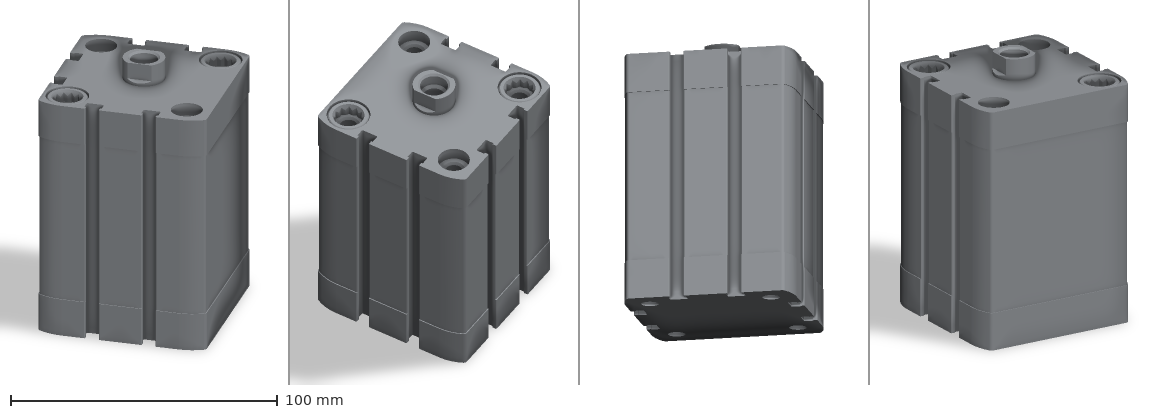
import cadquery as cq
import math


WIDTH = 65.5
HOUSING_HEIGHT = 94.7
CAP_HEIGHT = 14.85
BARREL_INSET = 0.35
CORNER_X = 22.9
CORNER_RADIUS = 19.0
EDGE_ROUND = 1.6

SLOTTED_SIDE_TURNS = (0, 180, -90)
SLOT_OFFSET = 11.05
SLOT_MOUTH = 5.4
SLOT_LIP = 1.7
SLOT_CAVITY = 6.7
SLOT_DEPTH = 5.1
SLOT_EDGE_CHAMFER = 0.25
SLOT_FLOOR_CHAMFER = 0.3

HOLE_PITCH = 46.5
BORE_D = 6.65
COUNTERSINK_D = 8.38
COUNTERSINK_ANGLE = 90.0
RECESS_D = 12.0
RECESS_DEPTH = 5.0

HEAD_GAP_D = 16.4
HEAD_D = 15.5
HEAD_SINK = 0.3
HEAD_CHAMFER = 0.45
HEAD_GAP_DEPTH = 2.0
SOCKET_ACROSS_FLATS = 9.8
SOCKET_HEXAGON_TURNS = (0, 30)
SOCKET_LEAD_IN_ANGLE = 45.0

ROD_D = 16.0
ROD_PROJECTION = 8.5
ROD_INSERTION = 35.0
ROD_FLAT_WIDTH = 13.0
ROD_FLAT_HEIGHT = 6.5
FLAT_RUNOUT_ANGLE = 30.0
ROD_MOUTH_D = 12.0
ROD_COUNTERBORE_D = 10.5
ROD_COUNTERBORE_DEPTH = 5.0
ROD_THREAD_D = 8.38
ROD_THREAD_DEPTH = 20.0
DRILL_TIP_ANGLE = 118.0

ROD_TOP = HOUSING_HEIGHT + ROD_PROJECTION
ROD_BOTTOM = HOUSING_HEIGHT - ROD_INSERTION
HALF_PITCH = HOLE_PITCH / 2
PLAIN_CORNERS = [(-HALF_PITCH, HALF_PITCH), (HALF_PITCH, -HALF_PITCH)]
SCREW_CORNERS = [(HALF_PITCH, HALF_PITCH), (-HALF_PITCH, -HALF_PITCH)]


def cylinder(diameter, bottom, top):
    return cq.Workplane("XY").workplane(offset=bottom).circle(diameter / 2).extrude(top - bottom)


def cone_depth(wide_diameter, narrow_diameter, full_angle):
    """Axial length of a cone between two diameters."""
    return (wide_diameter - narrow_diameter) / 2 / math.tan(math.radians(full_angle / 2))


def cone(bottom_diameter, top_diameter, bottom, top):
    solid = cq.Solid.makeCone(
        bottom_diameter / 2, top_diameter / 2, top - bottom, pnt=cq.Vector(0, 0, bottom)
    )
    return cq.Workplane(obj=solid)


def profile_block(inset, bottom, top):
    """Square block with broad arcs across its four corners."""
    half = WIDTH / 2 - inset
    radius = CORNER_RADIUS - inset
    centre_y = half - radius

    def on_arc(x):
        return centre_y + math.sqrt(radius**2 - (x - CORNER_X) ** 2)

    side_y = on_arc(half)
    middle_x = (CORNER_X + half) / 2
    middle_y = on_arc(middle_x)
    block = (
        cq.Workplane("XY")
        .workplane(offset=bottom)
        .moveTo(-CORNER_X, half)
        .lineTo(CORNER_X, half)
        .threePointArc((middle_x, middle_y), (half, side_y))
        .lineTo(half, -side_y)
        .threePointArc((middle_x, -middle_y), (CORNER_X, -half))
        .lineTo(-CORNER_X, -half)
        .threePointArc((-middle_x, -middle_y), (-half, -side_y))
        .lineTo(-half, side_y)
        .threePointArc((-middle_x, middle_y), (-CORNER_X, half))
        .close()
        .extrude(top - bottom)
    )
    return block.edges("|Z and (<X or >X)").fillet(EDGE_ROUND - inset)


def side_slots(inset, bottom, top):
    """Pair of T-slots in the -Y side of a block whose sides are set in by the given amount."""
    side = -WIDTH / 2
    block_side = side + inset
    mouth = SLOT_MOUTH / 2
    flare = mouth + SLOT_EDGE_CHAMFER
    cavity = SLOT_CAVITY / 2
    lip_y = side + SLOT_LIP
    floor_y = side + SLOT_DEPTH
    half_outline = [
        (flare, block_side),
        (mouth, block_side + SLOT_EDGE_CHAMFER),
        (mouth, lip_y),
        (cavity, lip_y),
        (cavity, floor_y - SLOT_FLOOR_CHAMFER),
        (cavity - SLOT_FLOOR_CHAMFER, floor_y),
    ]
    other_half = [(-x, y) for x, y in reversed(half_outline)]
    slot = (
        cq.Workplane("XY")
        .workplane(offset=bottom)
        .polyline(half_outline + other_half)
        .close()
        .extrude(top - bottom)
    )
    return slot.translate((-SLOT_OFFSET, 0, 0)).union(slot.translate((SLOT_OFFSET, 0, 0)))


def slotted_block(inset, bottom, top):
    """Length of housing profile with slots in the front, back and left sides."""
    block = profile_block(inset, bottom, top)
    for turn in SLOTTED_SIDE_TURNS:
        block = block.cut(side_slots(inset, bottom, top).rotate((0, 0, 0), (0, 0, 1), turn))
    return block


def through_bore():
    """Through hole with the countersink at the recess floor."""
    floor = HOUSING_HEIGHT - RECESS_DEPTH
    countersink_depth = cone_depth(COUNTERSINK_D, BORE_D, COUNTERSINK_ANGLE)
    countersink = cone(BORE_D, COUNTERSINK_D, floor - countersink_depth, floor)
    return cylinder(BORE_D, 0, floor).union(countersink)


def plain_corner_cut():
    recess = cylinder(RECESS_D, HOUSING_HEIGHT - RECESS_DEPTH, HOUSING_HEIGHT)
    return through_bore().union(recess)


def screw_corner_cut():
    """Space around a sunken screw head, with its twelve-point socket and bore."""
    head_top = HOUSING_HEIGHT - HEAD_SINK
    floor = HOUSING_HEIGHT - RECESS_DEPTH
    gap_floor = HOUSING_HEIGHT - HEAD_GAP_DEPTH
    head = cylinder(HEAD_D, gap_floor, head_top).faces(">Z").chamfer(HEAD_CHAMFER)
    cut = cylinder(HEAD_GAP_D, gap_floor, HOUSING_HEIGHT).cut(head)

    hexagon_d = SOCKET_ACROSS_FLATS / math.cos(math.pi / 6)
    lead_in_depth = cone_depth(RECESS_D, SOCKET_ACROSS_FLATS, SOCKET_LEAD_IN_ANGLE)
    cut = cut.union(cone(SOCKET_ACROSS_FLATS, RECESS_D, head_top - lead_in_depth, head_top))
    for turn in SOCKET_HEXAGON_TURNS:
        hexagon = cq.Workplane("XY").workplane(offset=floor).polygon(6, hexagon_d)
        socket = hexagon.extrude(head_top - floor)
        cut = cut.union(socket.rotate((0, 0, 0), (0, 0, 1), turn))
    return cut.union(through_bore())


def make_housing():
    upper_cap_bottom = HOUSING_HEIGHT - CAP_HEIGHT
    body = slotted_block(0, 0, CAP_HEIGHT)
    body = body.union(slotted_block(BARREL_INSET, CAP_HEIGHT, upper_cap_bottom))
    body = body.union(slotted_block(0, upper_cap_bottom, HOUSING_HEIGHT))
    for x, y in PLAIN_CORNERS:
        body = body.cut(plain_corner_cut().translate((x, y, 0)))
    for x, y in SCREW_CORNERS:
        body = body.cut(screw_corner_cut().translate((x, y, 0)))
    return body.cut(cylinder(ROD_D, ROD_BOTTOM, HOUSING_HEIGHT))


def wrench_flat():
    """Wedge that cuts the +Y wrench flat, with a sloping foot."""
    inner = ROD_FLAT_WIDTH / 2
    outer = ROD_D / 2
    foot = ROD_TOP - ROD_FLAT_HEIGHT
    drop = (outer - inner) * math.tan(math.radians(FLAT_RUNOUT_ANGLE))
    return (
        cq.Workplane("YZ")
        .polyline([(inner, ROD_TOP), (inner, foot), (outer, foot - drop), (outer, ROD_TOP)])
        .close()
        .extrude(ROD_D / 2, both=True)
    )


def rod_bore():
    """Chamfered counterbore, tapered step, threaded core and drill tip, as one revolved profile."""
    mouth = ROD_MOUTH_D / 2
    counterbore = ROD_COUNTERBORE_D / 2
    core = ROD_THREAD_D / 2
    chamfer_bottom = ROD_TOP - (mouth - counterbore)
    counterbore_bottom = ROD_TOP - ROD_COUNTERBORE_DEPTH
    core_top = counterbore_bottom - (counterbore - core)
    core_bottom = ROD_TOP - ROD_THREAD_DEPTH
    tip = core_bottom - cone_depth(ROD_THREAD_D, 0, DRILL_TIP_ANGLE)
    return (
        cq.Workplane("XZ")
        .polyline([
            (0, ROD_TOP),
            (mouth, ROD_TOP),
            (counterbore, chamfer_bottom),
            (counterbore, counterbore_bottom),
            (core, core_top),
            (core, core_bottom),
            (0, tip),
        ])
        .close()
        .revolve(360, (0, 0, 0), (0, 1, 0))
    )


def make_rod():
    rod = cylinder(ROD_D, ROD_BOTTOM, ROD_TOP)
    flat = wrench_flat()
    return rod.cut(flat).cut(flat.mirror("XZ")).cut(rod_bore())


housing = make_housing()
rod = make_rod()

result = cq.Compound.makeCompound([housing.val(), rod.val()])